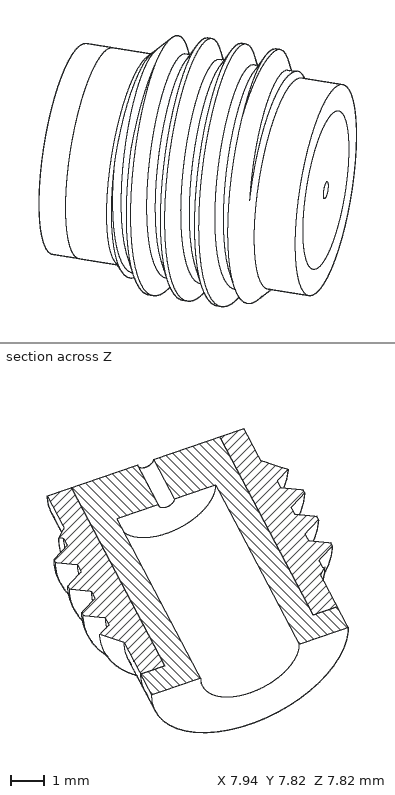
import cadquery as cq
import math

total_length = 7.94
land_radius = 3.175
flange_length = 0.825
land_length = 1.27

crest_diameter = 7.82
crest_radius = crest_diameter / 2
pitch = 1.055
flank_angle = 30.0
crest_width = pitch / 8
root_width = pitch / 4
thread_depth = (pitch - crest_width - root_width) / 2 / math.tan(math.radians(flank_angle))
root_radius = crest_radius - thread_depth
crest_x = 3.27
lead_in_pitches = 2.5
groove_turns = 6
cutter_overlap = 0.04
end_chamfer_angle = 45.0

stem_radius = 2.38
bore_radius = 1.59
bore_depth = 6.35
orifice_radius = 0.255

thread_start = flange_length + land_length
thread_end = total_length - land_length
chamfer_length = (crest_radius - land_radius) / math.tan(math.radians(end_chamfer_angle))


def cylinder_x(radius, start, end):
    """Cylinder on the X axis between two axial positions."""
    return cq.Workplane("YZ", origin=(start, 0, 0)).circle(radius).extrude(end - start)


def make_blank():
    """Sleeve blank at full crest diameter, with conical ends on the threaded part."""
    outline = [
        (flange_length, 0),
        (flange_length, land_radius),
        (thread_start, land_radius),
        (thread_start + chamfer_length, crest_radius),
        (thread_end - chamfer_length, crest_radius),
        (thread_end, land_radius),
        (total_length, land_radius),
        (total_length, 0),
    ]
    return cq.Workplane("XZ").polyline(outline).close().revolve(360, (0, 0, 0), (1, 0, 0))


def helix_edge(radius, start):
    """Helical edge about Z, starting on the XZ plane at the given height."""
    wire = cq.Wire.makeHelix(pitch, groove_turns * pitch, radius)
    return wire.translate(cq.Vector(0, 0, start)).Edges()[0]


def make_thread_groove():
    """Helical trapezoidal groove of ruled faces, built along Z and turned onto the X axis."""
    groove_start = crest_x - lead_in_pitches * pitch
    root_half = root_width / 2
    outer_radius = crest_radius + cutter_overlap
    outer_half = root_half + (outer_radius - root_radius) * math.tan(math.radians(flank_angle))
    profile = [
        (root_radius, -root_half),
        (outer_radius, -outer_half),
        (outer_radius, outer_half),
        (root_radius, root_half),
    ]

    helices = [helix_edge(radius, height) for radius, height in profile]
    faces = []
    for index, helix in enumerate(helices):
        next_helix = helices[(index + 1) % len(helices)]
        faces.append(cq.Face.makeRuledSurface(helix, next_helix))
    for rise in (0, groove_turns * pitch):
        corners = [cq.Vector(radius, 0, height + rise) for radius, height in profile]
        faces.append(cq.Face.makeFromWires(cq.Wire.makePolygon(corners, close=True)))

    solid = cq.Solid.makeSolid(cq.Shell.makeShell(faces)).fix()
    groove = cq.Workplane(obj=solid)
    return groove.rotate((0, 0, 0), (0, 1, 0), 90).translate((groove_start, 0, 0))


def make_sleeve():
    """Threaded sleeve with a straight hole for the insert stem."""
    stem_hole = cylinder_x(stem_radius, flange_length, total_length)
    return make_blank().cut(make_thread_groove()).cut(stem_hole)


def make_insert():
    """Flanged insert with a blind bore that ends in a small orifice."""
    flange = cylinder_x(land_radius, 0, flange_length)
    stem = cylinder_x(stem_radius, flange_length, total_length)
    bore = cylinder_x(bore_radius, 0, bore_depth)
    orifice = cylinder_x(orifice_radius, bore_depth, total_length)
    return flange.union(stem).cut(bore).cut(orifice)


sleeve = make_sleeve()
insert = make_insert()
result = cq.Compound.makeCompound([sleeve.solids().val(), insert.solids().val()])